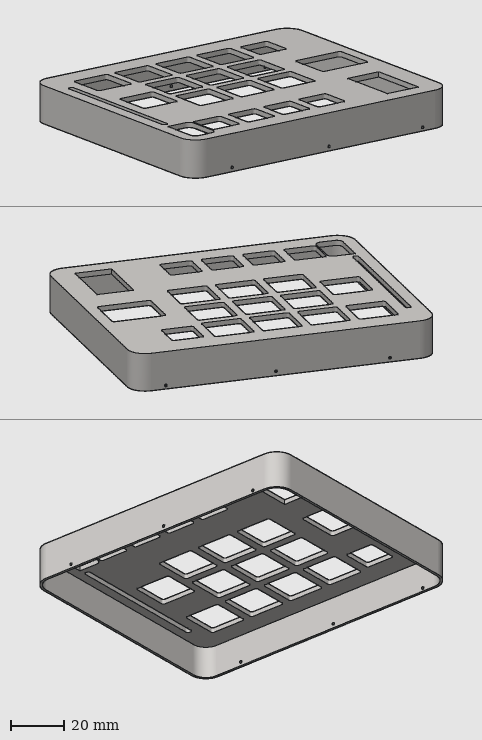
import cadquery as cq

WIDTH = 99.5
LENGTH = 120.8
HEIGHT = 15.0
CORNER_RADIUS = 7.0
WALL = 1.0
INNER_CORNER_RADIUS = CORNER_RADIUS - WALL
PLATE_THICKNESS = 2.0

KEY_SIZE = 15.7
KEY_PITCH = 19.1
KEY_COLUMNS = 3
FIRST_KEY_X = -32.6
FIRST_KEY_Y = 16.9
KEY_CORNER_RADIUS = 0.8
FULL_ROWS = 3
LAST_ROW_COLUMNS = (0, 1.5)

SIDE_KEY_SIZE = 12.7
UPPER_KEY_SIZE = 12.6
UPPER_KEY_CENTER = (-33.0, 35.0)
SIDE_COLUMN_X = 35.0
SIDE_COLUMN_TOP_Y = 11.5
SIDE_COLUMN_PITCH = 16.4
SIDE_COLUMN_COUNT = 4

KNOB_WIDTH = 17.6
KNOB_LENGTH = 21.3
KNOB_CENTER = (-3.5, 44.8)
KNOB_CORNER_RADIUS = 1.1

DISPLAY_WIDTH = 24.9
DISPLAY_LENGTH = 14.5
DISPLAY_CENTER = (30.3, 43.6)

PORT_WIDTH = 16.3
PORT_LENGTH = 10.5
PORT_CENTER = (36.2, -50.0)
PORT_CORNER_RADIUS = 2.4

SLOT_WIDTH = 60.2
SLOT_LENGTH = 2.3
SLOT_CENTER = (-4.5, -54.2)
SLOT_CORNER_RADIUS = 1.0

PIN_HOLE_DIAMETER = 1.0
PIN_HOLES = [(47.6, 1.5), (3.9, 1.8), (-41.4, 1.7)]


def rounded_block(width, length, height, radius):
    """Block standing on z = 0 with rounded vertical edges."""
    return (
        cq.Workplane("XY")
        .box(width, length, height, centered=(True, True, False))
        .edges("|Z")
        .fillet(radius)
    )


def opening(center, width, length, radius=0.0, rounded_edges="|Z"):
    """Cutter passing through the top plate."""
    cutter = cq.Workplane("XY").box(width, length, 2 * PLATE_THICKNESS)
    if radius > 0:
        cutter = cutter.edges(rounded_edges).fillet(radius)
    return cutter.translate((center[0], center[1], HEIGHT - PLATE_THICKNESS / 2))


def key_opening(x, y, size):
    """Square key cutter."""
    return opening((x, y), size, size, KEY_CORNER_RADIUS)


def key_openings():
    """Cutters for the main grid, the upper key and the side column."""
    cutters = []
    for row in range(FULL_ROWS):
        for column in range(KEY_COLUMNS):
            x = FIRST_KEY_X + column * KEY_PITCH
            y = FIRST_KEY_Y - row * KEY_PITCH
            cutters.append(key_opening(x, y, KEY_SIZE))

    last_row_y = FIRST_KEY_Y - FULL_ROWS * KEY_PITCH
    for column in LAST_ROW_COLUMNS:
        x = FIRST_KEY_X + column * KEY_PITCH
        cutters.append(key_opening(x, last_row_y, KEY_SIZE))

    cutters.append(key_opening(*UPPER_KEY_CENTER, UPPER_KEY_SIZE))
    for index in range(SIDE_COLUMN_COUNT):
        y = SIDE_COLUMN_TOP_Y - index * SIDE_COLUMN_PITCH
        cutters.append(key_opening(SIDE_COLUMN_X, y, SIDE_KEY_SIZE))
    return cutters


def other_openings():
    """Cutters for the knob, the display, the corner port and the slot."""
    return [
        opening(KNOB_CENTER, KNOB_WIDTH, KNOB_LENGTH, KNOB_CORNER_RADIUS),
        opening(DISPLAY_CENTER, DISPLAY_WIDTH, DISPLAY_LENGTH),
        opening(PORT_CENTER, PORT_WIDTH, PORT_LENGTH, PORT_CORNER_RADIUS, "|Z and (>X or >Y)"),
        opening(SLOT_CENTER, SLOT_WIDTH, SLOT_LENGTH, SLOT_CORNER_RADIUS),
    ]


def pin_hole(y, z):
    """Hole along X through both side walls."""
    return (
        cq.Workplane("YZ")
        .center(y, z)
        .circle(PIN_HOLE_DIAMETER / 2)
        .extrude(WIDTH, both=True)
    )


body = rounded_block(WIDTH, LENGTH, HEIGHT, CORNER_RADIUS)
cavity = rounded_block(
    WIDTH - 2 * WALL,
    LENGTH - 2 * WALL,
    HEIGHT - PLATE_THICKNESS,
    INNER_CORNER_RADIUS,
)
result = body.cut(cavity)

for cutter in key_openings() + other_openings():
    result = result.cut(cutter)

for hole_y, hole_z in PIN_HOLES:
    result = result.cut(pin_hole(hole_y, hole_z))